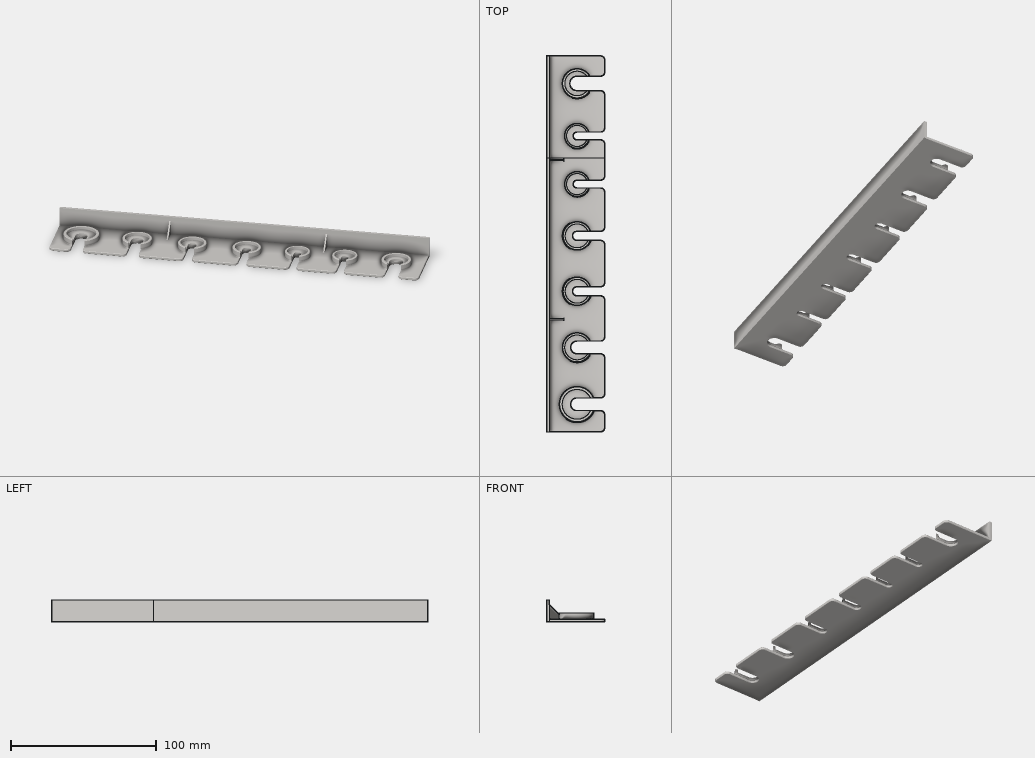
import cadquery as cq
overall_width = 40.0
overall_height = 15.0
thickness = 2.0
long_length = 188.0
total_length = 258.0

corner_radius = 3.0
outline_chamfer = 0.3

seat_x = 20.9
boss_height = 4.2
recess_depth = 2.2
rim_chamfer = 0.3

rib_leg = 9.8
rib_thickness = 1.0

foot_fillet = 0.4

long_seats = [
    (19.0, 8.5, 12.25, 10.2),
    (58.0, 8.5, 10.15, 8.5),
    (96.5, 6.0, 9.8, 8.15),
    (134.5, 6.0, 9.8, 8.15),
    (170.0, 5.1, 8.65, 7.25),
]
short_seats = [
    (203.0, 5.1, 8.65, 7.25),
    (239.0, 9.7, 10.2, 8.4),
]

boss_top = thickness + boss_height
recess_floor = boss_top - recess_depth
seat_centres = [seat[0] for seat in long_seats + short_seats]
rib_centres = [
    (seat_centres[1] + seat_centres[2]) / 2,
    (seat_centres[4] + seat_centres[5]) / 2,
]
tolerance = 0.01


def near(value, target):
    return abs(value - target) < tolerance


def block(x_range, y_range, z_range):
    """Box given by its lower and upper limits along each axis."""
    size = [high - low for low, high in (x_range, y_range, z_range)]
    corner = (x_range[0], y_range[0], z_range[0])
    return cq.Workplane("XY").box(*size, centered=False).translate(corner)


def slot(y, slot_width):
    """Cutter with a round inner end at the seat centre, open towards +X."""
    half_width = slot_width / 2
    return (
        cq.Workplane("XY")
        .moveTo(overall_width, y - half_width)
        .lineTo(seat_x, y - half_width)
        .threePointArc((seat_x - half_width, y), (seat_x, y + half_width))
        .lineTo(overall_width, y + half_width)
        .close()
        .extrude(overall_height)
    )


def boss(y, boss_radius, recess_radius):
    """Recessed round boss with a chamfered rim and a filleted foot."""
    profile = (
        cq.Workplane("XZ")
        .moveTo(0, thickness)
        .lineTo(boss_radius + foot_fillet, thickness)
        .radiusArc((boss_radius, thickness + foot_fillet), foot_fillet)
        .lineTo(boss_radius, boss_top - rim_chamfer)
        .lineTo(boss_radius - rim_chamfer, boss_top)
        .lineTo(recess_radius, boss_top)
        .lineTo(recess_radius, recess_floor)
        .lineTo(0, recess_floor)
        .close()
    )
    return profile.revolve(360, (0, 0, 0), (0, 1, 0)).translate((seat_x, y, 0))


def rib(y):
    """Triangular rib that flares out where it meets the wall and the shelf."""
    half_span = rib_thickness / 2 + 2 * foot_fillet
    span = (y - half_span, y + half_span)
    wall_piece = block((0, thickness), span, (0, overall_height))
    shelf_piece = block((thickness, overall_width), span, (0, thickness))
    web = (
        cq.Workplane("XZ", origin=(thickness, y, thickness))
        .polyline([(0, 0), (rib_leg, 0), (0, rib_leg)])
        .close()
        .extrude(rib_thickness / 2, both=True)
    )

    def is_foot(edge):
        middle = edge.Center()
        on_side = near(abs(middle.y - y), rib_thickness / 2)
        return on_side and (near(middle.x, thickness) or near(middle.z, thickness))

    corner = wall_piece.union(shelf_piece).union(web)
    corner = corner.edges().filter(is_foot).fillet(foot_fillet)
    return corner.cut(wall_piece).cut(shelf_piece)


def plate(y_range, y_joint, seats):
    """Slotted plate, rounded and chamfered all round except at the wall and the joint."""
    body = block((thickness, overall_width), y_range, (0, thickness))
    for y, slot_width, _, _ in seats:
        body = body.cut(slot(y, slot_width))

    def is_outer_corner(edge):
        middle = edge.Center()
        return near(middle.x, overall_width) and not near(middle.y, y_joint)

    def is_outline(edge):
        middle = edge.Center()
        is_flat = near(edge.BoundingBox().zlen, 0)
        return is_flat and not near(middle.x, thickness) and not near(middle.y, y_joint)

    body = body.edges("|Z").filter(is_outer_corner).fillet(corner_radius)
    return body.edges().filter(is_outline).chamfer(outline_chamfer)


def shelf(y_range, y_joint, seats, ribs):
    """Plate with its seats and ribs."""
    body = plate(y_range, y_joint, seats)
    for y, slot_width, boss_radius, recess_radius in seats:
        body = body.union(boss(y, boss_radius, recess_radius).cut(slot(y, slot_width)))
    for y in ribs:
        body = body.union(rib(y))
    return body


def wall(y_range):
    """Upright strip along the back of a shelf."""
    return block((0, thickness), y_range, (0, overall_height))


long_range = (0, long_length)
short_range = (long_length, total_length)

long_wall = wall(long_range)
short_wall = wall(short_range)
long_shelf = shelf(long_range, long_length, long_seats, rib_centres)
short_shelf = shelf(short_range, long_length, short_seats, [])

result = cq.Compound.makeCompound(
    [long_wall.val(), short_wall.val(), long_shelf.val(), short_shelf.val()]
)